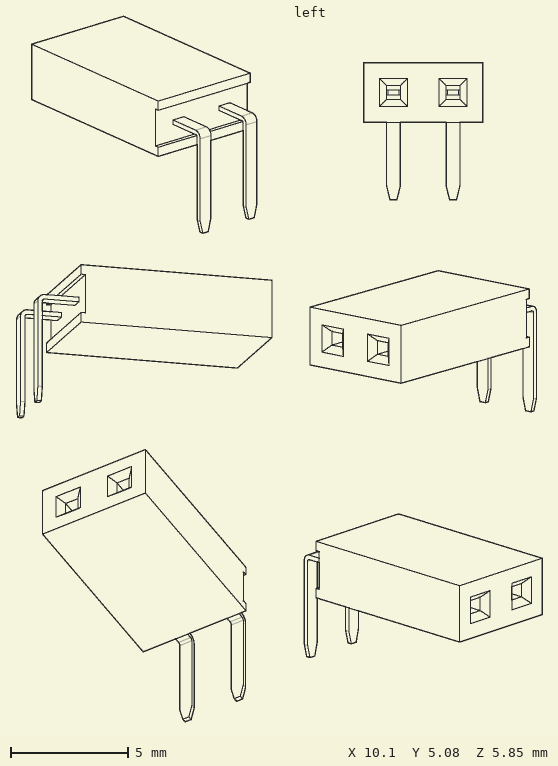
import cadquery as cq

total_length = 10.13
total_height = 5.85
pitch = 2.538
contact_count = 2
contact_positions = [(i - (contact_count - 1) / 2) * pitch for i in range(contact_count)]

body_length = 8.5
body_height = 2.54
body_width = contact_count * pitch
lip_thickness = 0.43
notch_depth = 0.19
back_face_x = body_length - notch_depth

funnel_mouth = 1.2
passage_size = 0.6
funnel_depth = (funnel_mouth - passage_size) / 2
passage_end_x = 6.08
slot_end_width = 0.49
slot_depth = (passage_size - slot_end_width) / 2

pin_width = 0.6
pin_thickness = 0.2
bend_outer_radius = 0.3
bend_inner_radius = bend_outer_radius - pin_thickness
tip_length = 0.6
tip_width = 0.3
pin_root_depth = 0.2
tail_bottom_z = body_height / 2 - total_height


def make_body():
    """Block with a full-width notch across its back, leaving a lip above and below."""
    block = cq.Workplane("XY").box(body_length, body_width, body_height, centered=(False, True, True))
    notch = (
        cq.Workplane("XY")
        .box(notch_depth, body_width, body_height - 2 * lip_thickness, centered=(False, True, True))
        .translate((back_face_x, 0, 0))
    )
    return block.cut(notch)


def tapered_pocket(start_x, depth, start_size, end_size):
    """Solid along +X between two centred rectangles, each given as (Y size, Z size)."""
    return (
        cq.Workplane("YZ", origin=(start_x, 0, 0))
        .rect(*start_size)
        .workplane(offset=depth)
        .rect(*end_size)
        .loft(ruled=True)
    )


def make_socket():
    """Cavity centred on Y = 0 that receives a mating pin."""
    mouth = (funnel_mouth, funnel_mouth)
    passage = (passage_size, passage_size)
    slot_start = (passage_size, pin_thickness)
    slot_end = (slot_end_width, pin_thickness)
    return (
        tapered_pocket(0, funnel_depth, mouth, passage)
        .union(tapered_pocket(funnel_depth, passage_end_x - funnel_depth, passage, passage))
        .union(tapered_pocket(passage_end_x, slot_depth, slot_start, slot_end))
    )


def make_pin():
    """Flat pin leaving the back face, bent downward and tapered at its tip."""
    root_x = back_face_x - pin_root_depth
    half_thickness = pin_thickness / 2
    half_width = pin_width / 2
    bent_strip = (
        cq.Workplane("XZ")
        .moveTo(root_x, half_thickness)
        .lineTo(total_length - bend_outer_radius, half_thickness)
        .radiusArc((total_length, half_thickness - bend_outer_radius), bend_outer_radius)
        .lineTo(total_length, tail_bottom_z)
        .lineTo(total_length - pin_thickness, tail_bottom_z)
        .lineTo(total_length - pin_thickness, -half_thickness - bend_inner_radius)
        .radiusArc((total_length - bend_outer_radius, -half_thickness), -bend_inner_radius)
        .lineTo(root_x, -half_thickness)
        .close()
        .extrude(half_width, both=True)
    )
    taper_start_z = tail_bottom_z + tip_length
    silhouette = (
        cq.Workplane("YZ", origin=(root_x, 0, 0))
        .polyline([
            (-half_width, half_thickness),
            (-half_width, taper_start_z),
            (-tip_width / 2, tail_bottom_z),
            (tip_width / 2, tail_bottom_z),
            (half_width, taper_start_z),
            (half_width, half_thickness),
        ])
        .close()
        .extrude(total_length - root_x)
    )
    return bent_strip.intersect(silhouette)


result = make_body()
socket = make_socket()
pin = make_pin()
for y in contact_positions:
    result = result.cut(socket.translate((0, y, 0))).union(pin.translate((0, y, 0)))